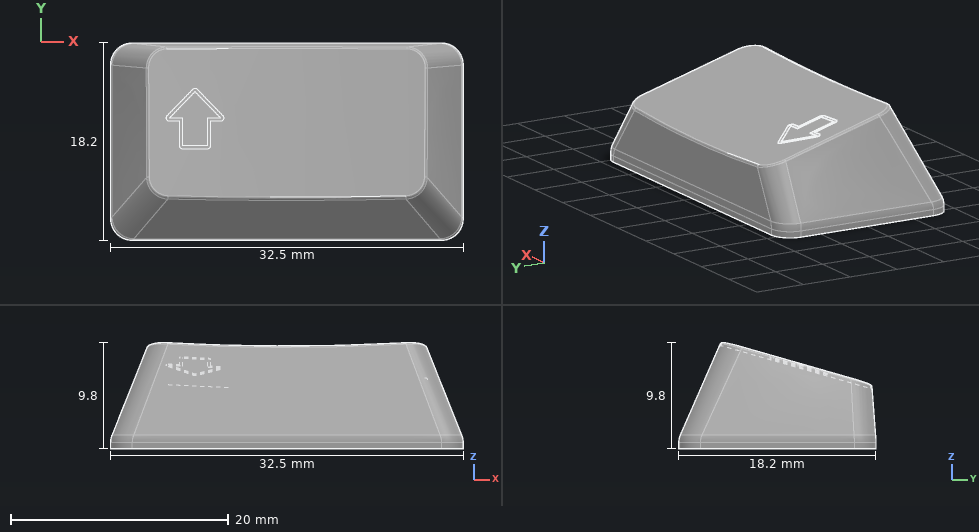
import cadquery as cq
import math

base_length = 32.45
base_width = 18.16
base_corner_radius = 2.0
skirt_height = 0.6

blend_top_z = 1.3
blend_side_inset = 0.15
blend_front_inset = 0.15
blend_back_inset = 0.04

crown_length = 25.6
crown_front_y = -5.1
crown_back_y = 8.68
crown_front_z = 10.04
crown_tilt = 16.0
crown_corner_radius = 2.0
crown_edge_radius = 0.25

dish_radius = 185.0
dish_edge_depth = 0.1
dish_overrun = 10.0

arrow_x = -8.45
arrow_tip_y = 4.6
arrow_head_base_y = 2.18
arrow_tail_y = -0.36
arrow_head_half_width = 2.35
arrow_shaft_half_width = 1.13
arrow_groove_width = 0.3
arrow_groove_depth = 0.05

tilt_angle = math.radians(crown_tilt)
crown_run = crown_back_y - crown_front_y
crown_width = crown_run / math.cos(tilt_angle)
crown_center = cq.Vector(
    0,
    (crown_front_y + crown_back_y) / 2,
    crown_front_z - crown_run / 2 * math.tan(tilt_angle),
)
crown_plane = cq.Plane(
    origin=crown_center,
    xDir=(1, 0, 0),
    normal=(0, math.sin(tilt_angle), math.cos(tilt_angle)),
)


def rounded_rectangle(length, width, radius, plane):
    """Rounded rectangle centered on the origin of a plane."""
    sketch = cq.Sketch().rect(length, width).vertices().fillet(radius)
    return sketch.moved(cq.Location(plane))


def blend_outline(fraction):
    """Outline of the blend at a fraction of its height; the inset grows as the square."""
    share = fraction**2
    front_inset = share * blend_front_inset
    back_inset = share * blend_back_inset
    height = skirt_height + fraction * (blend_top_z - skirt_height)
    return rounded_rectangle(
        base_length - 2 * share * blend_side_inset,
        base_width - front_inset - back_inset,
        base_corner_radius,
        cq.Plane(origin=(0, (front_inset - back_inset) / 2, height)),
    )


def make_body():
    """Upright skirt, curved blend and ruled walls up to the tilted crown."""
    base = blend_outline(0)
    blend_top = blend_outline(1)
    crown = rounded_rectangle(crown_length, crown_width, crown_corner_radius, crown_plane)
    skirt = cq.Workplane("XY").placeSketch(
        rounded_rectangle(base_length, base_width, base_corner_radius, cq.Plane.XY())
    ).extrude(skirt_height)
    blend = cq.Workplane("XY").placeSketch(base, blend_outline(0.5), blend_top).loft()
    walls = cq.Workplane("XY").placeSketch(blend_top, crown).loft(ruled=True)
    return skirt.union(blend).union(walls)


def make_dish_cylinder(radius):
    """Cylinder along the crown slope; every radius shares the axis of the dish."""
    half_length = crown_length / 2
    axis_height = math.sqrt(dish_radius**2 - half_length**2) - dish_edge_depth
    cylinder_length = crown_width + 2 * dish_overrun
    end_plane = cq.Plane(
        origin=crown_plane.toWorldCoords((0, -cylinder_length / 2, axis_height)),
        xDir=(1, 0, 0),
        normal=crown_plane.yDir,
    )
    return cq.Workplane(end_plane).circle(radius).extrude(cylinder_length)


def cut_dish(body):
    """Hollow the crown and round the rim of the dish."""
    dished = body.cut(make_dish_cylinder(dish_radius))
    dish_face = dished.faces(cq.selectors.NearestToPointSelector(crown_center.toTuple()))
    return dish_face.edges().fillet(crown_edge_radius)


def make_arrow_groove():
    """Band around an arrow, reaching a constant depth below the dish."""
    right_side = [
        (arrow_head_half_width, arrow_head_base_y),
        (arrow_shaft_half_width, arrow_head_base_y),
        (arrow_shaft_half_width, arrow_tail_y),
    ]
    left_side = [(-x, y) for x, y in reversed(right_side)]
    points = [(0, arrow_tip_y)] + right_side + left_side
    start = cq.Workplane("XY").center(arrow_x, 0)
    inside = start.polyline(points).close().extrude(crown_front_z)
    outside = start.polyline(points).close().offset2D(arrow_groove_width, "arc").extrude(crown_front_z)
    groove_floor = make_dish_cylinder(dish_radius + arrow_groove_depth)
    return outside.cut(inside).intersect(groove_floor)


result = cut_dish(make_body()).cut(make_arrow_groove())